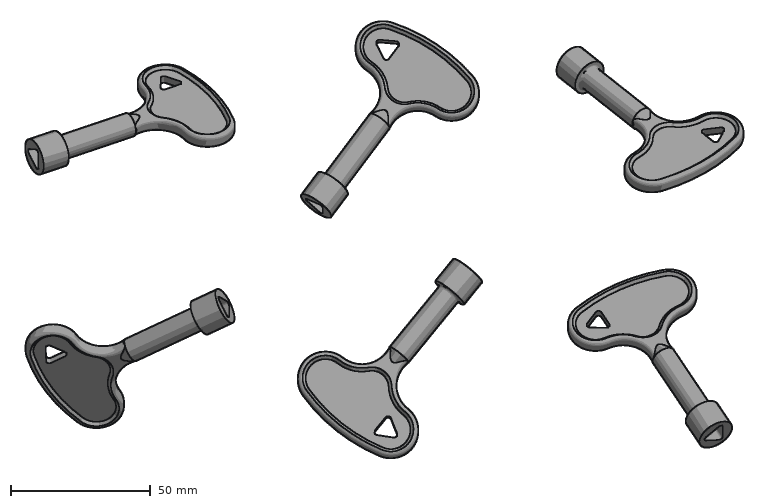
import cadquery as cq
import math


total_length = 74.83
socket_diameter = 13.37
socket_length = 10.4
shaft_diameter = 8.87
shaft_end = 39.4
shaft_root_fillet = 1.0

cone_end_radius = 2.0
cone_half_angle = 25.0

handle_width = 49.84
handle_thickness = 5.2
handle_edge_fillet = 1.6
lobe_center_x = 15.0
lobe_center_y = 62.85
neck_half_width = 4.0

pocket_rim_inset = 1.75
pocket_floor_inset = 2.87
pocket_depth = 1.1
pocket_floor_start = 48.95

triangle_inradius = 2.85
triangle_corner_radius = 1.15
triangle_depth = socket_length
hanging_hole_x = -13.55
hanging_hole_y = 63.4

lobe_radius = handle_width / 2 - lobe_center_x
neck_radius = lobe_center_x - neck_half_width
neck_center_y = lobe_center_y - lobe_radius - neck_radius
lobe_drop = total_length - lobe_center_y
crown_radius = (lobe_center_x**2 + lobe_drop**2 - lobe_radius**2) / (2 * (lobe_drop - lobe_radius))
crown_center_y = total_length - crown_radius
half_thickness = handle_thickness / 2


def point_toward(start, target, distance):
    """Point at a signed distance from start along the line to target."""
    dx = target[0] - start[0]
    dy = target[1] - start[1]
    length = math.hypot(dx, dy)
    return (start[0] + dx / length * distance, start[1] + dy / length * distance)


def mirrored(point):
    """The same point on the other side of X = 0."""
    return (-point[0], point[1])


def upper_outline(plane, inset):
    """Path along the right lobe, the crown and the left lobe, moved inward by inset."""
    lobe_center = (lobe_center_x, lobe_center_y)
    lobe_bottom = (lobe_center_x, lobe_center_y - lobe_radius + inset)
    lobe_side = (lobe_center_x + lobe_radius - inset, lobe_center_y)
    crown_end = point_toward((0, crown_center_y), lobe_center, crown_radius - inset)
    return (
        plane.moveTo(*lobe_bottom)
        .threePointArc(lobe_side, crown_end)
        .threePointArc((0, total_length - inset), mirrored(crown_end))
        .threePointArc(mirrored(lobe_side), mirrored(lobe_bottom))
    )


def handle_outline(plane):
    """Closed handle outline, with the neck arcs running down to the end of the shaft."""
    arc_offset = neck_radius * math.sqrt(0.5)
    neck_mid = (lobe_center_x - arc_offset, neck_center_y + arc_offset)
    neck_end_drop = neck_center_y - shaft_end
    neck_end = (lobe_center_x - math.sqrt(neck_radius**2 - neck_end_drop**2), shaft_end)
    return (
        upper_outline(plane, 0)
        .threePointArc(mirrored(neck_mid), mirrored(neck_end))
        .lineTo(*neck_end)
        .threePointArc(neck_mid, (lobe_center_x, lobe_center_y - lobe_radius))
        .close()
    )


def pocket_outline(plane, inset):
    """Closed pocket outline: the handle outline moved inward, with a round across the neck."""
    side_center = (lobe_center_x, neck_center_y)
    side_radius = neck_radius + inset
    round_bottom = pocket_floor_start - pocket_floor_inset + inset
    rise = round_bottom - neck_center_y
    round_radius = (lobe_center_x**2 + rise**2 - side_radius**2) / (2 * (side_radius - rise))
    round_center = (0, round_bottom + round_radius)
    tangent_point = point_toward(side_center, round_center, side_radius)

    lobe_bottom = (lobe_center_x, neck_center_y + side_radius)
    chord_mid = ((lobe_bottom[0] + tangent_point[0]) / 2, (lobe_bottom[1] + tangent_point[1]) / 2)
    side_mid = point_toward(side_center, chord_mid, side_radius)
    return (
        upper_outline(plane, inset)
        .threePointArc(mirrored(side_mid), mirrored(tangent_point))
        .threePointArc((0, round_bottom), tangent_point)
        .threePointArc(side_mid, lobe_bottom)
        .close()
    )


def make_handle():
    """Flat handle, rounded along both faces except where it ends inside the shaft."""
    blank = handle_outline(cq.Workplane("XY").workplane(offset=-half_thickness)).extrude(handle_thickness)
    return blank.faces("<Z or >Z").edges("not <Y").fillet(handle_edge_fillet)


def make_pocket():
    """Cutter for the pocket in the +Z face, with sloping walls."""
    floor_plane = cq.Workplane("XY").workplane(offset=half_thickness - pocket_depth)
    floor = pocket_outline(floor_plane, pocket_floor_inset)
    return pocket_outline(floor.workplane(offset=pocket_depth), pocket_rim_inset).loft(ruled=True)


def make_shaft():
    """Socket head, shaft and the cone that runs into the handle, turned about the Y axis."""
    socket_radius = socket_diameter / 2
    shaft_radius = shaft_diameter / 2
    cone_length = (shaft_radius - cone_end_radius) / math.tan(math.radians(cone_half_angle))
    fillet_reach = shaft_root_fillet * (1 - math.sqrt(0.5))
    return (
        cq.Workplane("XY")
        .lineTo(socket_radius, 0)
        .lineTo(socket_radius, socket_length)
        .lineTo(shaft_radius + shaft_root_fillet, socket_length)
        .threePointArc(
            (shaft_radius + fillet_reach, socket_length + fillet_reach),
            (shaft_radius, socket_length + shaft_root_fillet),
        )
        .lineTo(shaft_radius, shaft_end)
        .lineTo(cone_end_radius, shaft_end + cone_length)
        .lineTo(0, shaft_end + cone_length)
        .close()
        .revolve(360, (0, 0, 0), (0, 1, 0))
    )


def triangle_prism(plane, depth):
    """Equilateral prism with rounded edges and one corner pointing to -X."""
    circumradius = 2 * triangle_inradius
    half_side = triangle_inradius * math.sqrt(3)
    corners = [(-circumradius, 0), (triangle_inradius, -half_side), (triangle_inradius, half_side)]
    side_edges = cq.selectors.ParallelDirSelector(plane.plane.zDir)
    return plane.polyline(corners).close().extrude(depth).edges(side_edges).fillet(triangle_corner_radius)


pocket = make_pocket()
hanging_hole_plane = cq.Workplane("XY", origin=(hanging_hole_x, hanging_hole_y, -half_thickness))
hanging_hole = triangle_prism(hanging_hole_plane, handle_thickness)
socket_hole = triangle_prism(cq.Workplane("XZ"), -triangle_depth)

result = (
    make_handle()
    .cut(pocket)
    .cut(pocket.mirror("XY"))
    .union(make_shaft())
    .cut(hanging_hole)
    .cut(socket_hole)
)